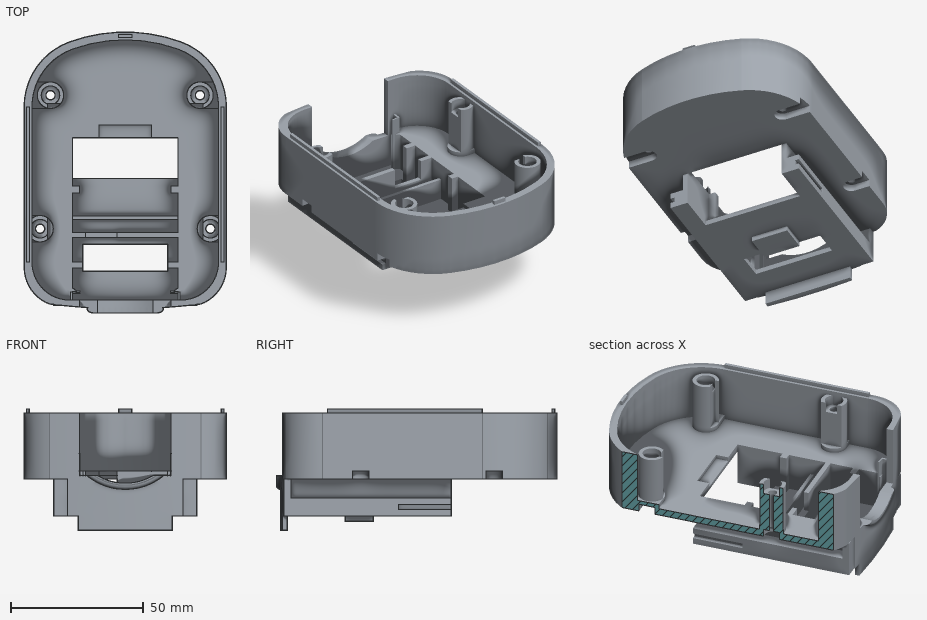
import cadquery as cq
import math

length = 106.2
half_width = 38.2
wall = 3.0
shell_height = 25.0
floor_top = 3.0
tongue_height = 1.6

back_corner_radius = 26.2
back_corner_y = 77.8
front_corner_radius = 15.2
front_corner_y = 17.4
front_face_y = 1.6
front_arc_end = (28.7, 3.4)
inner_front_y = 4.9
inner_front_radius = 14.3

box_half_width = 27.1
box_front_y = 2.9
box_back_y = 66.2
box_depth = 14.0
box_floor_thickness = 2.0
box_floor_top = box_floor_thickness - box_depth
cavity_half_width = 19.9
box_floor_back_y = 50.9
window_half_width = 16.0

plate_half_width = 21.8
plate_depth = 19.4
plate_foot_half_width = 17.8
plate_foot_back_y = 4.1

slot_half_width = 17.3
slot_bottom = 1.3
lip_center_z = 18.7
lip_inner_radius = 20.3
lip_outer_radius = 22.6
lip_rounding = 1.6

back_post = (28.2, 82.3)
front_post = (32.2, 31.9)
post_radius = 5.0
post_top = 23.1
post_pad_height = 1.8
post_pad_top = floor_top + post_pad_height
post_bore_radius = 3.5
post_bore_depth = 4.0
post_notch_x = 29.4
back_notch_y = 79.1
screw_diameter = 3.4
screw_head_radius = 3.1


def block(x_range, y_range, z_range):
    """Axis-aligned block between the given limits."""
    (x0, x1), (y0, y1), (z0, z1) = x_range, y_range, z_range
    return cq.Workplane("XY").box(x1 - x0, y1 - y0, z1 - z0, centered=False).translate((x0, y0, z0))


def centered_block(half_x, y_range, z_range):
    """Block symmetric about the centre plane X = 0."""
    return block((-half_x, half_x), y_range, z_range)


def mirrored(body):
    """The body together with its mirror image in the plane X = 0."""
    return body.union(body.mirror("YZ"))


def upright(z0, z1, sketch):
    """Extrude a closed XY outline from z0 to z1."""
    return sketch.extrude(z1 - z0).translate((0, 0, z0))


def cylinder(center, radius, z0, z1):
    return upright(z0, z1, cq.Workplane("XY").center(*center).circle(radius))


def back_arcs(sketch, inset):
    """Add the tangent corner - crown - corner arcs, from right to left, set in by inset."""
    corner_x = half_width - back_corner_radius
    rise = length - back_corner_y
    crown_radius = (corner_x**2 + rise**2 - back_corner_radius**2) / (2 * (rise - back_corner_radius))
    crown_y = length - crown_radius
    blend_angle = math.atan2(back_corner_y - crown_y, corner_x)
    corner = back_corner_radius - inset

    def on_corner(angle, side):
        return (
            side * (corner_x + corner * math.cos(angle)),
            back_corner_y + corner * math.sin(angle),
        )

    return (
        sketch.threePointArc(on_corner(blend_angle / 2, 1), on_corner(blend_angle, 1))
        .threePointArc((0, length - inset), on_corner(blend_angle, -1))
        .threePointArc(on_corner(blend_angle / 2, -1), (-half_width + inset, back_corner_y))
    )


def outer_outline():
    """Outline with a bowed front face and rounded corners."""
    end_x, end_y = front_arc_end
    corner_x = half_width - front_corner_radius
    end_angle = math.atan2(end_y - front_corner_y, end_x - corner_x)
    mid_x = corner_x + front_corner_radius * math.cos(end_angle / 2)
    mid_y = front_corner_y + front_corner_radius * math.sin(end_angle / 2)
    sketch = (
        cq.Workplane("XY")
        .moveTo(-end_x, end_y)
        .threePointArc((0, front_face_y), (end_x, end_y))
        .threePointArc((mid_x, mid_y), (half_width, front_corner_y))
        .lineTo(half_width, back_corner_y)
    )
    return (
        back_arcs(sketch, 0)
        .lineTo(-half_width, front_corner_y)
        .threePointArc((-mid_x, mid_y), (-end_x, end_y))
        .close()
    )


def inner_outline():
    """Outline of the shell's inside, with a flat front."""
    side = half_width - wall
    flat = side - inner_front_radius
    arc_y = inner_front_y + inner_front_radius
    sketch = (
        cq.Workplane("XY")
        .moveTo(-flat, inner_front_y)
        .lineTo(flat, inner_front_y)
        .radiusArc((side, arc_y), -inner_front_radius)
        .lineTo(side, back_corner_y)
    )
    return (
        back_arcs(sketch, wall)
        .lineTo(-side, arc_y)
        .radiusArc((-flat, inner_front_y), -inner_front_radius)
        .close()
    )


def shell():
    body = upright(0, shell_height, outer_outline())
    return body.cut(upright(floor_top, shell_height, inner_outline()))


def box_body():
    """Solid body of the box, with side rails, grooves and the front plate."""
    body = centered_block(box_half_width, (box_front_y, box_back_y), (-box_depth, 0))
    rail_depth = 7.2
    rail_front_y = 5.6
    rails = block((plate_half_width, box_half_width), (rail_front_y, box_back_y), (-rail_depth, 0))
    groove_front_y = 46.1
    groove_bottom, groove_top = -11.6, -9.6
    groove_floor_x = 25.5
    grooves = block(
        (groove_floor_x, box_half_width), (groove_front_y, box_back_y), (groove_bottom, groove_top)
    )
    body = body.cut(mirrored(rails.union(grooves)))

    bowed = upright(-plate_depth, 0, outer_outline())
    plate = centered_block(plate_half_width, (0, inner_front_y), (-box_depth, 0))
    foot = centered_block(plate_foot_half_width, (0, plate_foot_back_y), (-plate_depth, -box_depth))
    return body.union(bowed.intersect(plate.union(foot)))


def cavity():
    """Room for the batteries: open at the back, with two windows in its floor and a pocket."""
    room = centered_block(cavity_half_width, (inner_front_y, box_back_y), (box_floor_top, floor_top))
    back_window = centered_block(
        cavity_half_width, (box_floor_back_y, box_back_y), (-box_depth, floor_top)
    )
    front_window_y = (15.8, 25.9)
    front_window = centered_block(window_half_width, front_window_y, (-box_depth, floor_top))
    pocket_half_width = 10.0
    pocket_back_y = 71.0
    pocket_depth = 1.6
    pocket = centered_block(
        pocket_half_width, (box_back_y, pocket_back_y), (floor_top - pocket_depth, floor_top)
    )
    return room.union(back_window).union(front_window).union(pocket)


def cavity_ribs():
    """Partition with a cable gap, a lower rib, side stops and the latch under the floor."""
    full_height = (box_floor_top, floor_top)

    partition_y = (28.6, 30.5)
    cable_gap_x = (-15.0, -3.1)
    cable_gap_bottom = -5.0
    partition = centered_block(cavity_half_width, partition_y, full_height)
    partition = partition.cut(block(cable_gap_x, partition_y, (cable_gap_bottom, floor_top)))

    low_rib_y = (35.4, 36.7)
    low_rib_top = -3.6
    low_rib = centered_block(cavity_half_width, low_rib_y, (box_floor_top, low_rib_top))

    back_stop_x = 17.2
    back_stop_y = (45.3, 48.0)
    front_stop_y = (17.0, 19.3)
    back_stop = block((back_stop_x, cavity_half_width), back_stop_y, full_height)
    front_stop = block((window_half_width, cavity_half_width), front_stop_y, full_height)

    latch_half_width = 7.4
    latch_y = (26.0, 36.6)
    latch_bottom = -box_depth - box_floor_thickness
    latch = centered_block(latch_half_width, latch_y, (latch_bottom, -box_depth))
    return partition.union(low_rib).union(mirrored(back_stop.union(front_stop))).union(latch)


def panel_guides():
    """Angled guides beside the slot, holding a panel against the front wall."""
    tip_x = 17.1
    outer_x = 20.6
    guide_y = 7.4
    guide_back_y = 8.0
    brace_y = 9.5
    foot_slant = 0.4
    guide_top = 9.7
    strip = block((cavity_half_width, outer_x), (inner_front_y, guide_back_y), (floor_top, guide_top))
    foot_points = [
        (outer_x, guide_y),
        (tip_x, guide_y + foot_slant),
        (tip_x, guide_back_y + foot_slant),
        (outer_x, guide_back_y),
    ]
    foot = upright(box_floor_top, guide_top, cq.Workplane("XY").polyline(foot_points).close())
    brace_points = [(tip_x, guide_y), (cavity_half_width, guide_y), (cavity_half_width, brace_y)]
    brace = upright(box_floor_top, floor_top, cq.Workplane("XY").polyline(brace_points).close())
    return mirrored(strip.union(foot).union(brace))


def lip_cylinder(radius):
    """Cylinder along Y about the axis of the finger lip, from Y = 0 to the inside of the wall."""
    disc = cq.Workplane("XZ").center(0, lip_center_z).circle(radius)
    return disc.extrude(-inner_front_y)


def finger_lip():
    body = lip_cylinder(lip_outer_radius).faces("<Y").edges().fillet(lip_rounding)
    below_slot = centered_block(
        lip_outer_radius, (0, inner_front_y), (lip_center_z - lip_outer_radius, slot_bottom)
    )
    return body.intersect(below_slot)


def front_slot():
    slot = centered_block(slot_half_width, (0, inner_front_y), (slot_bottom, shell_height))
    hollow_bottom = lip_center_z - lip_inner_radius
    below_slot = centered_block(slot_half_width, (0, inner_front_y), (hollow_bottom, slot_bottom))
    return slot.union(lip_cylinder(lip_inner_radius).intersect(below_slot))


def post(center, notch_y):
    """Right-hand screw post on its pad; the side toward the middle is notched down to the pad."""
    x, y = center
    pad = cylinder(center, post_radius, floor_top, post_pad_top)
    pad = pad.union(
        block((x, half_width), (y - post_radius, y + post_radius), (floor_top, post_pad_top))
    )
    column = cylinder(center, post_radius, floor_top, post_top)
    column = column.cut(cylinder(center, post_bore_radius, post_top - post_bore_depth, post_top))
    notch = block(
        (x - post_radius, post_notch_x), (y - post_radius, notch_y), (post_pad_top, post_top)
    )
    return pad.union(column.cut(notch))


def screw_hole(center):
    """Screw hole with a head recess that opens sideways through the outer wall."""
    x, y = center
    recess = cylinder(center, screw_head_radius, 0, floor_top)
    recess = recess.union(
        block((x, half_width), (y - screw_head_radius, y + screw_head_radius), (0, floor_top))
    )
    return recess.union(cylinder(center, screw_diameter / 2, 0, post_top))


def posts():
    pair = post(back_post, back_notch_y).union(post(front_post, front_post[1] + post_radius))
    inside = upright(floor_top, post_top, inner_outline())
    return mirrored(pair).intersect(inside)


def rim_tongues():
    """Thin tongues on the rim that locate the cover."""
    heights = (shell_height, shell_height + tongue_height)
    side_x = (36.2, 37.4)
    side_front_y = 19.3
    back_half_width = 2.5
    back_y = (104.1, 105.2)
    sides = mirrored(block(side_x, (side_front_y, back_corner_y), heights))
    return sides.union(centered_block(back_half_width, back_y, heights))


screw_holes = mirrored(screw_hole(back_post).union(screw_hole(front_post)))

result = (
    shell()
    .union(box_body())
    .union(finger_lip())
    .cut(front_slot())
    .cut(cavity())
    .union(cavity_ribs())
    .union(panel_guides())
    .union(posts())
    .cut(screw_holes)
    .union(rim_tongues())
)